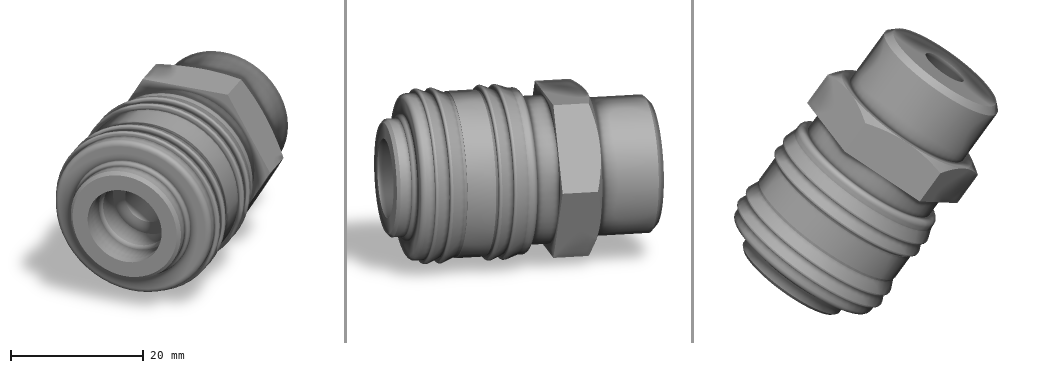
import cadquery as cq
import math

length = 41.0

nose_radius = 8.98
nose_chamfer = 0.5
nose_end = 2.17
collar_fillet = 0.6
collar_radius = nose_radius + collar_fillet

sleeve_radius = 12.65
sleeve_start = 3.0
sleeve_end = 21.0
sleeve_fillet = 0.78
groove_radius = 12.5
groove_width = 0.4
rib_radius = 13.32
rib_fillet = 0.3
rib_land = 0.12
rib_pitch = 2.3
front_ribs_start = 5.05
rear_ribs_start = 14.9

neck_radius = 11.28
hex_start = 24.48
hex_end = 31.0
hex_across_flats = 24.0
hex_chamfer_angle = 30.0
shank_radius = 10.5
shank_chamfer = 1.0

socket_mouth_radius = 6.03
socket_mouth_depth = 4.5
socket_step = 0.5
socket_floor_radius = socket_mouth_radius - socket_step
socket_depth = 9.0
hole_radius = 3.53


def cylinder(radius, start, end):
    """Solid cylinder on the Y axis between two Y positions."""
    return cq.Workplane("XZ", origin=(0, start, 0)).circle(radius).extrude(start - end)


def revolve_profile(points):
    """Turn a closed (radius, Y) outline about the Y axis."""
    return cq.Workplane("XY").polyline(points).close().revolve(360, (0, 0, 0), (0, 1, 0))


def rib(start, base_radius):
    """Saw-tooth rib: rounded steep front edge, short land, then a cone falling to its base."""
    land_start = start + rib_fillet
    corner = rib_fillet * math.sqrt(0.5)
    return (
        cq.Workplane("XY")
        .moveTo(0, start)
        .lineTo(rib_radius - rib_fillet, start)
        .threePointArc((rib_radius - rib_fillet + corner, land_start - corner), (rib_radius, land_start))
        .lineTo(rib_radius, land_start + rib_land)
        .lineTo(base_radius, start + rib_pitch)
        .lineTo(0, start + rib_pitch)
        .close()
        .revolve(360, (0, 0, 0), (0, 1, 0))
    )


def make_sleeve():
    """Rounded sleeve with a rib pair near each end and a shallow groove inside each pair."""
    sleeve = cylinder(sleeve_radius, sleeve_start, sleeve_end).edges("%CIRCLE").fillet(sleeve_fillet)
    front_ribs_end = front_ribs_start + 2 * rib_pitch
    rear_ribs_end = rear_ribs_start + 2 * rib_pitch
    bands = (
        (front_ribs_start, front_ribs_end + groove_width),
        (rear_ribs_start - groove_width, rear_ribs_end),
    )
    for start, end in bands:
        band = cylinder(rib_radius, start, end).cut(cylinder(groove_radius, start, end))
        sleeve = sleeve.cut(band)
    for start in (front_ribs_start, front_ribs_start + rib_pitch, rear_ribs_start):
        sleeve = sleeve.union(rib(start, groove_radius))
    return sleeve.union(rib(rear_ribs_start + rib_pitch, sleeve_radius))


def make_hexagon():
    """Hexagon with corners on the X axis and its rear corners turned off by a cone."""
    corner_radius = hex_across_flats / math.sqrt(3)
    flat_radius = hex_across_flats / 2
    chamfer_depth = (corner_radius - flat_radius) * math.tan(math.radians(hex_chamfer_angle))
    prism = (
        cq.Workplane("XZ", origin=(0, hex_start, 0))
        .polygon(6, 2 * corner_radius)
        .extrude(hex_start - hex_end)
    )
    turned_blank = revolve_profile([
        (0, hex_start),
        (corner_radius, hex_start),
        (corner_radius, hex_end - chamfer_depth),
        (flat_radius, hex_end),
        (0, hex_end),
    ])
    return prism.intersect(turned_blank)


def make_bore():
    """Stepped socket opening at the nose and a hole through the whole length."""
    return revolve_profile([
        (0, 0),
        (socket_mouth_radius, 0),
        (socket_mouth_radius, socket_mouth_depth),
        (socket_floor_radius, socket_mouth_depth + socket_step),
        (socket_floor_radius, socket_depth),
        (hole_radius, socket_depth),
        (hole_radius, length),
        (0, length),
    ])


nose = cylinder(nose_radius, 0, sleeve_start).faces("<Y").chamfer(nose_chamfer)
collar = cylinder(collar_radius, nose_end, sleeve_start).faces("<Y").edges().fillet(collar_fillet)
neck = cylinder(neck_radius, sleeve_end, hex_start)
shank = cylinder(shank_radius, hex_end, length).faces(">Y").chamfer(shank_chamfer)

result = nose
for section in (collar, make_sleeve(), neck, make_hexagon(), shank):
    result = result.union(section)
result = result.cut(make_bore())